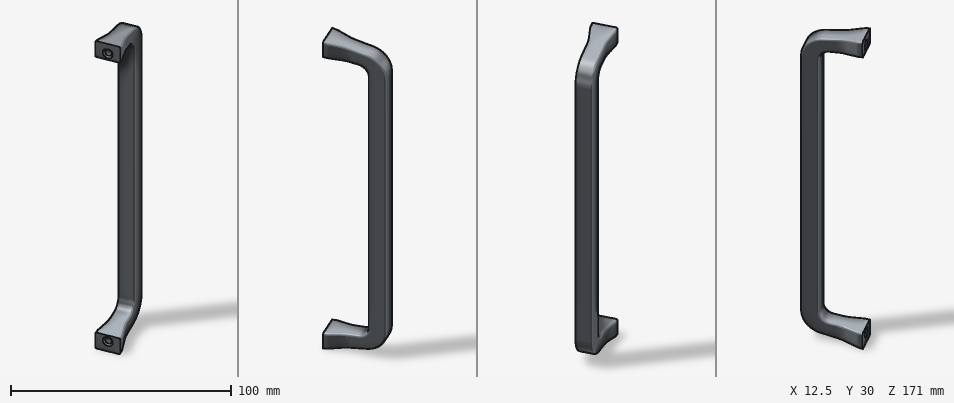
import cadquery as cq
import math

foot_width = 12.5
reach = 30.0
height = 171.0

grip_width = 8.5
grip_thickness = 8.7
foot_height = 8.9
edge_radius = 1.0

outer_slope = 10.0
inner_slope = 5.0
outer_bend_radius = 11.5
inner_bend_radius = 5.3

flare_start = 10.5
flare_end = 2.2
flare_start_radius = 19.5
flare_end_radius = 6.5
position_tolerance = 0.02

hole_spacing = 160.0
hole_diameter = 3.2
hole_depth = 10.0
hole_tip_angle = 118.0
countersink_diameter = 5.0
countersink_depth = (countersink_diameter - hole_diameter) / 2


def c_outline(back, face_height, slope, bend_radius):
    """Solid behind the mounting plane, bounded by one surface of the C-shaped handle."""
    rise = math.tan(math.radians(slope))
    corner_height = face_height - back * rise
    block = (
        cq.Workplane("YZ")
        .polyline([(0, -face_height), (back, -corner_height), (back, corner_height), (0, face_height)])
        .close()
        .extrude(foot_width / 2, both=True)
    )
    return block.edges("|X and >Y").fillet(bend_radius)


def flare_outline():
    """Handle outline across its width: a constant grip, flaring out to the feet."""
    half_grip = grip_width / 2
    half_foot = foot_width / 2
    right_side = [(half_foot, 0), (half_foot, flare_end), (half_grip, flare_start), (half_grip, reach)]
    left_side = [(-x, y) for x, y in reversed(right_side)]
    prism = cq.Workplane("XY").polyline(right_side + left_side).close().extrude(height / 2, both=True)
    for bend, radius in ((flare_start, flare_start_radius), (flare_end, flare_end_radius)):
        bend_edges = prism.edges("|Z").filter(lambda edge: abs(edge.Center().y - bend) < position_tolerance)
        prism = bend_edges.fillet(radius)
    return prism


def mounting_hole(end):
    """Countersunk blind hole with a drill tip, cut in along Y; end is +1 for the upper foot."""
    radius = hole_diameter / 2
    tip_length = radius / math.tan(math.radians(hole_tip_angle / 2))
    profile = [
        (0, 0),
        (countersink_diameter / 2, 0),
        (radius, countersink_depth),
        (radius, hole_depth),
        (0, hole_depth + tip_length),
    ]
    hole = cq.Workplane("XY").polyline(profile).close().revolve(360, (0, 0), (0, 1))
    return hole.translate((0, 0, end * hole_spacing / 2))


outer = c_outline(reach, height / 2, outer_slope, outer_bend_radius)
inner = c_outline(reach - grip_thickness, height / 2 - foot_height, inner_slope, inner_bend_radius)
handle = outer.cut(inner).intersect(flare_outline())

grip_edges = handle.edges("|Z").filter(lambda edge: edge.Center().y > reach / 2)
result = grip_edges.fillet(edge_radius)

for end in (1, -1):
    result = result.cut(mounting_hole(end))